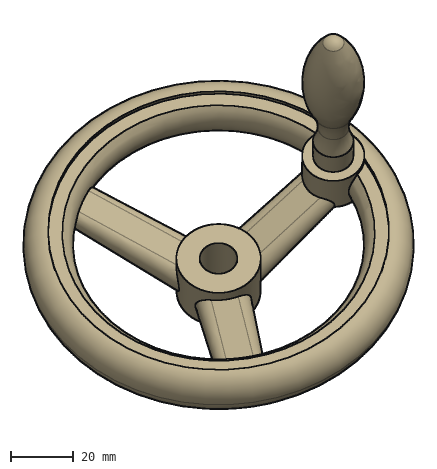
import cadquery as cq
import math

outer_radius = 62.5
rim_section_radius = 8.0
rim_center_radius = outer_radius - rim_section_radius
rim_center_z = 25.5
rim_step_inner_radius = 50.0
rim_step_z = rim_center_z + math.sqrt(
    rim_section_radius**2 - (rim_center_radius - rim_step_inner_radius) ** 2
)

hub_radius = 13.5
hub_height = 18.0
bore_radius = 6.0

spoke_count = 3
spoke_flat_width = 8.8
spoke_root_radius = 5.0
spoke_tip_radius = 3.2
spoke_root_z = 3.8
first_spoke_angle = 90.0

handle_y = 47.0
boss_radius = 10.0
boss_bottom_z = 19.0
boss_top_z = rim_center_z + rim_section_radius

shank_radius = 6.5
shank_top_z = 41.8
neck_radius = 5.0
neck_z = 49.5
belly_start_radius = 6.4
belly_start_z = 57.6
belly_radius = 10.0
belly_z = 74.2
tip_radius = 3.4
tip_z = 96.2
handle_top_z = 97.8


def cylinder(radius, bottom_z, top_z):
    return cq.Workplane("XY").workplane(offset=bottom_z).circle(radius).extrude(top_z - bottom_z)


def make_rim():
    torus = (
        cq.Workplane("XZ")
        .center(rim_center_radius, rim_center_z)
        .circle(rim_section_radius)
        .revolve(360, (-rim_center_radius, 0), (-rim_center_radius, 1))
    )
    step_cutter = cylinder(rim_center_radius, rim_step_z, rim_center_z + 2 * rim_section_radius)
    return torus.cut(step_cutter)


def make_spoke():
    """Spoke along +X, rising from the hub axis to the center of the rim section."""
    rise = rim_center_z - spoke_root_z
    length = math.hypot(rim_center_radius, rise)
    root_plane = cq.Plane(
        origin=(0, 0, spoke_root_z), xDir=(0, 1, 0), normal=(rim_center_radius, 0, rise)
    )
    return (
        cq.Workplane(root_plane)
        .slot2D(spoke_flat_width + 2 * spoke_root_radius, 2 * spoke_root_radius)
        .workplane(offset=length)
        .slot2D(spoke_flat_width + 2 * spoke_tip_radius, 2 * spoke_tip_radius)
        .loft(ruled=True)
    )


def make_handle():
    tip_cap_height = handle_top_z - tip_z
    tip_cap_radius = (tip_radius**2 + tip_cap_height**2) / (2 * tip_cap_height)
    cap_center_z = handle_top_z - tip_cap_radius
    cap_half_angle = math.asin(tip_radius / tip_cap_radius) / 2
    cap_middle = (
        tip_cap_radius * math.sin(cap_half_angle),
        cap_center_z + tip_cap_radius * math.cos(cap_half_angle),
    )
    lower_neck = cq.Edge.makeTangentArc(
        cq.Vector(neck_radius, neck_z), cq.Vector(0, -1), cq.Vector(shank_radius, shank_top_z)
    )
    lower_neck_middle = lower_neck.positionAt(0.5)
    return (
        cq.Workplane("XZ")
        .moveTo(0, rim_center_z)
        .lineTo(shank_radius, rim_center_z)
        .lineTo(shank_radius, shank_top_z)
        .threePointArc((lower_neck_middle.x, lower_neck_middle.y), (neck_radius, neck_z))
        .tangentArcPoint((belly_start_radius, belly_start_z), relative=False)
        .threePointArc((belly_radius, belly_z), (tip_radius, tip_z))
        .threePointArc(cap_middle, (0, handle_top_z))
        .close()
        .revolve(360, (0, 0), (0, 1))
        .translate((0, handle_y, 0))
    )


result = make_rim().union(cylinder(hub_radius, 0, hub_height))

hub_clearance = cylinder(hub_radius, hub_height, handle_top_z).union(
    cylinder(hub_radius, -hub_height, 0)
)
for index in range(spoke_count):
    angle = first_spoke_angle + index * 360 / spoke_count
    spoke = make_spoke().cut(hub_clearance)
    result = result.union(spoke.rotate((0, 0, 0), (0, 0, 1), angle))

boss = cylinder(boss_radius, boss_bottom_z, boss_top_z).translate((0, handle_y, 0))
result = result.union(boss).union(make_handle())
result = result.cut(cylinder(bore_radius, -hub_height, hub_height))